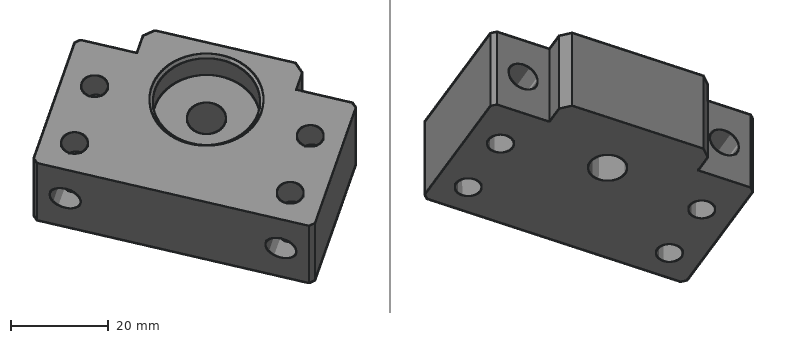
import cadquery as cq

block_width = 60.0
block_depth = 32.5
height = 20.0
block_corner_chamfer = 1.0

tongue_width = 34.0
overall_depth = 39.0
tongue_corner_chamfer = 2.0

bore_y = 25.0
bore_diameter = 22.0
bore_depth = 6.5
bore_chamfer = 0.7
bore_chamfer_angle = 45.0
shaft_hole_diameter = 8.0

mount_spacing_x = 46.0
vertical_hole_diameter = 5.5
vertical_hole_rows_y = (7.0, 22.0)
cross_hole_diameter = 6.6
cross_hole_z = height / 2


def make_body():
    """Chamfered block with the narrower tongue on its back face."""
    block = (
        cq.Workplane("XY")
        .box(block_width, block_depth, height, centered=(True, False, False))
        .edges("|Z")
        .chamfer(block_corner_chamfer)
    )
    tongue = (
        cq.Workplane("XY")
        .box(tongue_width, overall_depth, height, centered=(True, False, False))
        .edges("|Z and >Y")
        .chamfer(tongue_corner_chamfer)
    )
    return block.union(tongue)


def bearing_seat():
    """Stepped bore: chamfered mouth, bearing seat and shaft hole."""
    seat = (
        cq.Workplane("XY", origin=(0, bore_y, height))
        .circle(bore_diameter / 2)
        .extrude(-bore_depth)
    )
    mouth = (
        cq.Workplane("XY", origin=(0, bore_y, height))
        .circle(bore_diameter / 2 + bore_chamfer)
        .extrude(-bore_chamfer, taper=bore_chamfer_angle)
    )
    shaft_hole = (
        cq.Workplane("XY", origin=(0, bore_y, 0))
        .circle(shaft_hole_diameter / 2)
        .extrude(height)
    )
    return seat.union(mouth).union(shaft_hole)


def vertical_holes():
    """Two rows of mounting holes running through the full height."""
    centres = [
        (side * mount_spacing_x / 2, y)
        for side in (-1, 1)
        for y in vertical_hole_rows_y
    ]
    return (
        cq.Workplane("XY")
        .pushPoints(centres)
        .circle(vertical_hole_diameter / 2)
        .extrude(height)
    )


def cross_holes():
    """Mounting holes running from the front face to the back of the block."""
    centres = [(side * mount_spacing_x / 2, cross_hole_z) for side in (-1, 1)]
    return (
        cq.Workplane("XZ")
        .pushPoints(centres)
        .circle(cross_hole_diameter / 2)
        .extrude(-block_depth)
    )


result = make_body().cut(bearing_seat()).cut(vertical_holes()).cut(cross_holes())